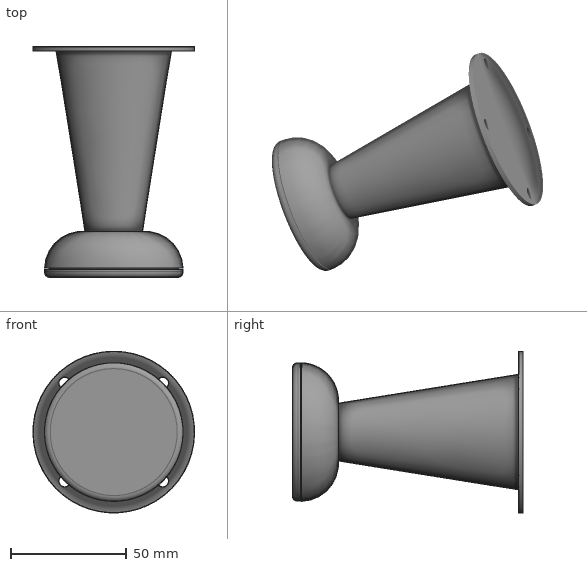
import cadquery as cq
import math

total_length = 100.0

flange_radius = 35.0
flange_thickness = 2.0
hole_count = 4
hole_diameter = 5.0
hole_circle_radius = 30.0
first_hole_angle = 45.0

stem_base_radius = 25.0
stem_tip_radius = 12.5

knob_length = 20.0
knob_radius = 30.0
cap_thickness = 3.5
cap_edge_radius = 2.5
dome_arc_radius = knob_length - cap_thickness
groove_width = 0.5
groove_depth = 2.0

flange_front_y = total_length - flange_thickness

diagonal = math.sqrt(0.5)


def make_turned_body():
    """Revolve the half outline (length along Y, radius along Z) about the Y axis."""
    cap_face_radius = knob_radius - cap_edge_radius
    cap_mid_y = cap_edge_radius * (1 - diagonal)
    cap_mid_radius = cap_face_radius + cap_edge_radius * diagonal
    dome_flat_radius = knob_radius - dome_arc_radius
    dome_mid_y = cap_thickness + dome_arc_radius * diagonal
    dome_mid_radius = dome_flat_radius + dome_arc_radius * diagonal

    outline = (
        cq.Workplane("YZ")
        .lineTo(0, cap_face_radius)
        .threePointArc((cap_mid_y, cap_mid_radius), (cap_edge_radius, knob_radius))
        .lineTo(cap_thickness, knob_radius)
        .threePointArc((dome_mid_y, dome_mid_radius), (knob_length, dome_flat_radius))
        .lineTo(knob_length, stem_tip_radius)
        .lineTo(flange_front_y, stem_base_radius)
        .lineTo(flange_front_y, flange_radius)
        .lineTo(total_length, flange_radius)
        .lineTo(total_length, 0)
        .close()
    )
    return outline.revolve(360, (0, 0, 0), (1, 0, 0))


def make_groove_ring():
    """Ring cutter for the groove between the cap and the dome."""
    return (
        cq.Workplane("XZ", origin=(0, cap_thickness + groove_width, 0))
        .circle(knob_radius + groove_depth)
        .circle(knob_radius - groove_depth)
        .extrude(groove_width)
    )


def make_flange_holes():
    """Screw-hole cutters on the bolt circle, running through the flange along Y."""
    return (
        cq.Workplane("XZ", origin=(0, total_length, 0))
        .polarArray(hole_circle_radius, first_hole_angle, 360, hole_count)
        .circle(hole_diameter / 2)
        .extrude(flange_thickness)
    )


result = make_turned_body().cut(make_groove_ring()).cut(make_flange_holes())